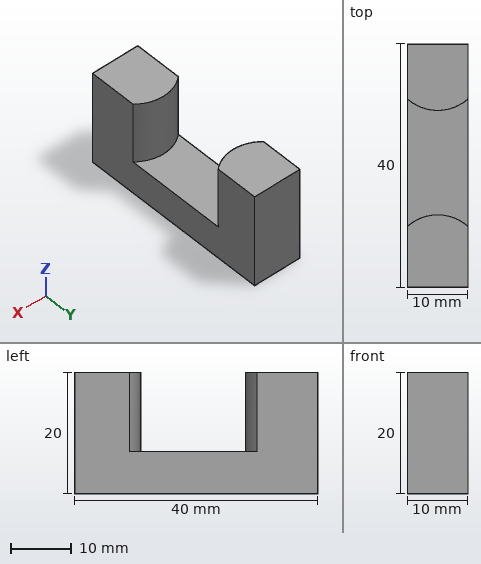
import cadquery as cq
import math

width = 10.0
length = 40.0
height = 20.0

base_height = 7.0
front_post_side = 10.0
back_post_side = 9.0

nose_radius = 7.5
half_width = width / 2
nose_depth = nose_radius - math.sqrt(nose_radius**2 - half_width**2)


def post(outer_y, side_length, inward):
    """Full-height post from outer_y, bulging inward (+1 or -1 along Y)."""
    side_end_y = outer_y + inward * side_length
    nose_y = side_end_y + inward * nose_depth
    return (
        cq.Workplane("XY")
        .moveTo(-half_width, outer_y)
        .lineTo(-half_width, side_end_y)
        .threePointArc((0, nose_y), (half_width, side_end_y))
        .lineTo(half_width, outer_y)
        .close()
        .extrude(height)
    )


base = cq.Workplane("XY").box(width, length, base_height, centered=(True, True, False))
front_post = post(-length / 2, front_post_side, 1)
back_post = post(length / 2, back_post_side, -1)

result = base.union(front_post).union(back_post)